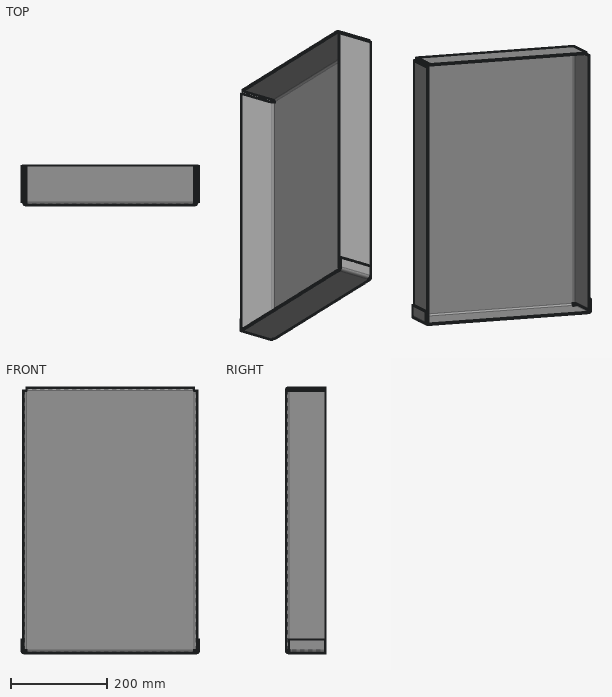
import cadquery as cq

overall_width = 369.0
depth = 83.0
height = 553.0

sheet = 3.0
bend_radius = 6.5
inner_radius = bend_radius - sheet

tab_clearance = 0.5
tab_height = 29.0
tab_end_setback = 1.0
tray_width = overall_width - 2 * (sheet + tab_clearance)

panel_width = tray_width - 2 * bend_radius
panel_height = height - 2 * bend_radius


def rounded_block(width, leg, length, radius):
    """Block on the XY plane, starting at Y = 0, with its two -Y edges rounded."""
    block = cq.Workplane("XY").box(width, leg, length, centered=(True, False, False))
    return block.edges("|Z and <Y").fillet(radius)


def folded_channel(width, leg, length):
    """U-shaped sheet: web at Y = 0, legs toward +Y, extruded along +Z."""
    outer = rounded_block(width, leg, length, bend_radius)
    inner = rounded_block(width - 2 * sheet, leg, length, inner_radius)
    return outer.cut(inner.translate((0, sheet, 0)))


side_channel = folded_channel(tray_width, depth, panel_height).translate((0, 0, bend_radius))

end_channel = (
    folded_channel(height, depth, panel_width)
    .rotate((0, 0, 0), (0, 1, 0), 90)
    .translate((-panel_width / 2, 0, height / 2))
)

tab_length = depth - bend_radius - tab_end_setback
tab_channel = (
    folded_channel(overall_width, tab_height, tab_length)
    .rotate((0, 0, 0), (1, 0, 0), 90)
    .translate((0, bend_radius + tab_length, 0))
)

result = side_channel.union(end_channel).union(tab_channel)